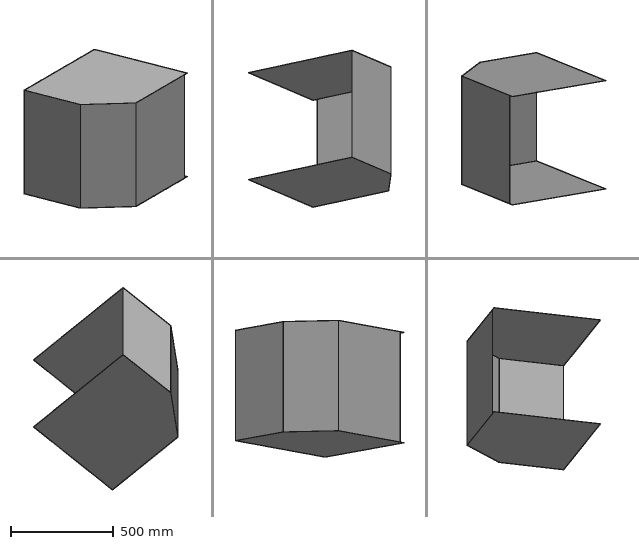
import cadquery as cq

width = 545.0
depth = 622.0
height = 550.0
sheet = 1.0

front_length = 329.5
bevel_depth = 167.5
side_setback = 25.0

footprint = (
    cq.Workplane("XY")
    .polyline([(0, 0), (front_length, 0), (width, bevel_depth), (width, depth), (0, depth)])
    .close()
)
body = footprint.extrude(height)


def inner_space():
    """Space between the plates, inside the front, bevelled and side walls."""
    bevel_width = width - front_length
    bevel_slant = (bevel_width**2 + bevel_depth**2) ** 0.5
    inner_front_end = front_length - sheet * (bevel_slant - bevel_width) / bevel_depth
    inner_side_start = bevel_depth + sheet * (bevel_slant - bevel_depth) / bevel_width
    inner_side = width - sheet
    return (
        cq.Workplane("XY", origin=(0, 0, sheet))
        .polyline([
            (0, sheet),
            (inner_front_end, sheet),
            (inner_side, inner_side_start),
            (inner_side, depth),
            (0, depth),
        ])
        .close()
        .extrude(height - 2 * sheet)
    )


def side_wall_setback():
    """Strip removed from the back end of the side wall, between the plates."""
    return (
        cq.Workplane("XY", origin=(0, depth - side_setback, sheet))
        .box(width, side_setback, height - 2 * sheet, centered=False)
    )


result = body.cut(inner_space()).cut(side_wall_setback())